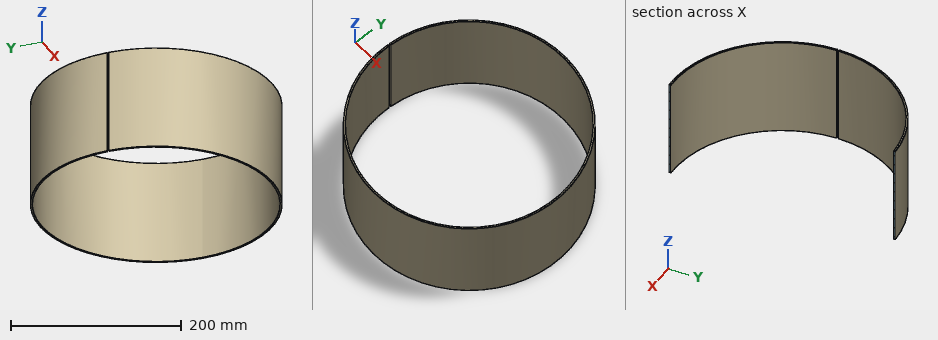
import cadquery as cq

outer_diameter = 295.0
height = 130.0
wall = 2.7
slit_width = 2.5
edge_chamfer = 0.45

outer_radius = outer_diameter / 2
inner_radius = outer_radius - wall
slit_depth = 2 * wall

ring = (
    cq.Workplane("XY")
    .circle(outer_radius)
    .circle(inner_radius)
    .extrude(height)
    .edges("%CIRCLE")
    .chamfer(edge_chamfer)
)

slit = (
    cq.Workplane("XY")
    .center(-outer_radius, slit_width / 2)
    .rect(2 * slit_depth, slit_width)
    .extrude(height)
)

result = ring.cut(slit)